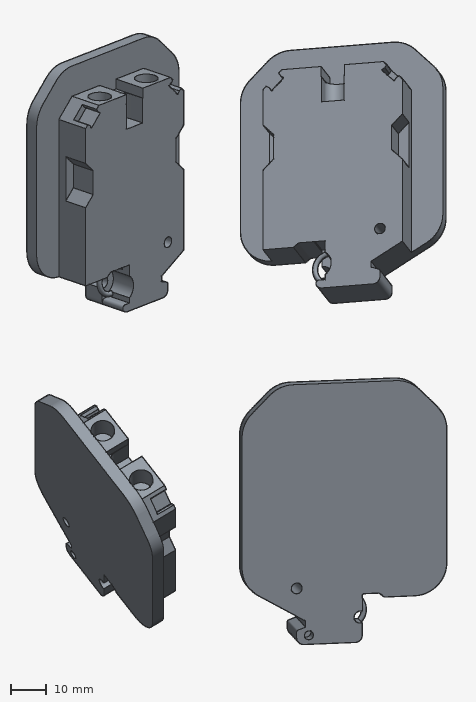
import cadquery as cq
import math


total_depth = 14.0
total_height = 74.0
plate_thickness = 3.8
plate_half_width = 29.0

top_corner_cut = 10.6
corner_radius = 9.2
plate_bottom = 12.6
slope_angle = math.radians(30)
slope_end_y = 11.0
slope_end_z = 6.65

tab_back_y = 13.55
tab_front_y = -5.0
tab_radius = 2.0
neck_bottom = 4.95
toe_z = 4.1
toe_radius = 0.6
step_top = 13.8
step_front_y = -9.8
step_run = 1.5
step_radius = 0.5
hook_y = -4.45
hook_z = 7.2
hook_radius = 1.7

block_half_width = 20.0
block_top = 65.0
block_corner_cut = 5.4
block_corner_angle = 45

notch_start_x = 6.45
notch_z = 42.55
notch_mouth = 13.25
notch_floor = 7.1
notch_depth = (notch_mouth - notch_floor) / 2

snap_start_x = 8.6
snap_width = 5.0
snap_depth = 2.1
snap_pinch = 0.2

groove_width = 6.65
groove_depth = 2.95
well_x = 9.55
well_y = 9.5
well_diameter = 6.5
well_depth = 7.4

through_hole_y = 13.55
through_hole_z = 16.05
through_hole_diameter = 3.0
blind_hole_y = 10.1
blind_hole_z = 2.6
blind_hole_diameter = 2.5
blind_hole_depth = plate_thickness

recess_start_x = 6.3
recess_wall_y = -2.15
recess_floor_z = 2.4
lip_radius = 0.95
recess_arc_half_height = 3.25
recess_arc_radius = 4.0
ring_y = -2.3
ring_z = 7.85
ring_wire_radius = 0.75
ring_radius = 4.5
ring_overlap = 0.1
ring_x = recess_start_x + ring_wire_radius - ring_overlap


def prism(points, start_x, end_x):
    """Extrude a closed (y, z) polygon from start_x to end_x."""
    return cq.Workplane("YZ", origin=(start_x, 0, 0)).polyline(points).close().extrude(end_x - start_x)


def rod(y, z, radius, start_x, end_x):
    """Cylinder along X."""
    return cq.Workplane("YZ", origin=(start_x, y, z)).circle(radius).extrude(end_x - start_x)


def round_corners(body, corners, radius):
    """Round the edges along X that pass through the given (y, z) corners."""
    for y, z in corners:
        nearest = cq.selectors.NearestToPointSelector((body.val().Center().x, y, z))
        edge = body.edges("|X").edges(nearest)
        body = edge.fillet(radius)
    return body


def outline_prism(depth):
    """The plate and tab outline, extruded from the flat outer face to the given depth."""
    slope_start_z = slope_end_z + (plate_half_width - slope_end_y) * math.tan(slope_angle)
    shoulder_y = plate_half_width - top_corner_cut
    shoulder_z = total_height - top_corner_cut
    plate_corners = [
        (plate_half_width, slope_start_z),
        (plate_half_width, shoulder_z),
        (shoulder_y, total_height),
        (-shoulder_y, total_height),
        (-plate_half_width, shoulder_z),
        (-plate_half_width, plate_bottom),
    ]
    step_corners = [(step_front_y, step_top), (tab_front_y, step_top)]
    step_foot = (step_front_y - step_run, plate_bottom)
    tab_corners = [(tab_front_y, 0), (tab_back_y, 0)]
    toe = (tab_back_y, toe_z)
    neck = [(slope_end_y, neck_bottom), (slope_end_y, slope_end_z)]

    body = prism(plate_corners + [step_foot] + step_corners + tab_corners + [toe] + neck, 0, depth)
    body = round_corners(body, plate_corners, corner_radius)
    body = round_corners(body, tab_corners, tab_radius)
    body = round_corners(body, step_corners, step_radius)
    return round_corners(body, [toe], toe_radius)


def block_envelope():
    """Straight-sided prism that limits the material behind the plate."""
    shoulder_y = block_half_width - block_corner_cut
    shoulder_z = block_top - block_corner_cut
    points = [
        (block_half_width, 0),
        (block_half_width, shoulder_z),
        (shoulder_y, block_top),
        (-shoulder_y, block_top),
        (-block_half_width, shoulder_z),
        (-block_half_width, 0),
    ]
    return prism(points, plate_thickness, total_depth)


def side_notch():
    """Trapezoid notch, narrowing inward, in the -Y side of the block."""
    points = [
        (-block_half_width, notch_z - notch_mouth / 2),
        (-block_half_width + notch_depth, notch_z - notch_floor / 2),
        (-block_half_width + notch_depth, notch_z + notch_floor / 2),
        (-block_half_width, notch_z + notch_mouth / 2),
    ]
    return prism(points, notch_start_x, total_depth)


def snap_slot():
    """Slot across the cut corner on the -Y side, its walls pinched at half depth."""
    half = snap_width / 2
    waist = half - snap_pinch
    points = [
        (-half, 0),
        (-waist, -snap_depth / 2),
        (-half, -snap_depth),
        (half, -snap_depth),
        (waist, -snap_depth / 2),
        (half, 0),
    ]
    middle_y = -block_half_width + block_corner_cut / 2
    middle_z = block_top - block_corner_cut / 2
    slot = prism(points, snap_start_x, total_depth)
    return slot.rotate((0, 0, 0), (1, 0, 0), block_corner_angle).translate((0, middle_y, middle_z))


def top_groove():
    """Groove over the middle of the block, with a round-ended well open to +X."""
    well_top = block_top - groove_depth
    groove = cq.Workplane("XY", origin=(plate_thickness, 0, well_top)).box(
        total_depth - plate_thickness, groove_width, groove_depth, centered=(False, True, False)
    )
    well = cq.Workplane("XY", origin=(well_x, 0, well_top)).circle(well_diameter / 2).extrude(-well_depth)
    opening = cq.Workplane("XY", origin=(well_x, 0, well_top - well_depth)).box(
        total_depth - well_x, well_diameter, well_depth, centered=(False, True, False)
    )
    return groove.union(well).union(opening)


def top_wells():
    """Two round wells sunk into the top of the block."""
    top = cq.Workplane("XY", origin=(well_x, 0, block_top))
    return top.pushPoints([(0, well_y), (0, -well_y)]).circle(well_diameter / 2).extrude(-well_depth)


def hook_notch():
    """Round-bottomed notch in the front edge of the tab."""
    bottom_z = hook_z - hook_radius
    top_z = hook_z + hook_radius
    mouth = [(hook_y, bottom_z), (tab_front_y, bottom_z), (tab_front_y, top_z), (hook_y, top_z)]
    return rod(hook_y, hook_z, hook_radius, 0, total_depth).union(prism(mouth, 0, total_depth))


def ring_recess():
    """Recess in the front of the tab: flat wall, round hollow and a foot with a rounded lip."""
    corners = [
        (tab_front_y, recess_floor_z),
        (recess_wall_y, recess_floor_z),
        (recess_wall_y, step_top),
        (tab_front_y, step_top),
    ]
    arc_y = recess_wall_y - math.sqrt(recess_arc_radius**2 - recess_arc_half_height**2)
    hollow = rod(arc_y, hook_z, recess_arc_radius, recess_start_x, total_depth)
    return prism(corners, recess_start_x, total_depth).union(hollow).union(lip_waste())


def lip_waste():
    """Material outside the lip: its arc is tangent to the foot and to the round corner of the tab."""
    corner_y = tab_front_y + tab_radius
    lip_z = recess_floor_z - lip_radius
    centre_distance = tab_radius - lip_radius
    angle = math.asin((tab_radius - lip_z) / centre_distance)
    lip_y = corner_y - centre_distance * math.cos(angle)
    tangent_z = tab_radius - tab_radius * math.sin(angle)
    corners = [
        (tab_front_y, tangent_z),
        (lip_y, tangent_z),
        (lip_y, recess_floor_z),
        (tab_front_y, recess_floor_z),
    ]
    waste = prism(corners, recess_start_x, total_depth)
    return waste.cut(rod(lip_y, lip_z, lip_radius, recess_start_x, total_depth))


def spring_ring():
    """Wire ring standing in the recess, its axis along X and its side sunk slightly into the recess wall."""
    ring = cq.Solid.makeTorus(
        ring_radius, ring_wire_radius, cq.Vector(ring_x, ring_y, ring_z), cq.Vector(1, 0, 0)
    )
    return cq.Workplane(obj=ring)


result = outline_prism(plate_thickness).union(outline_prism(total_depth).intersect(block_envelope()))

for feature in (side_notch(), snap_slot()):
    result = result.cut(feature).cut(feature.mirror("XZ"))

result = result.cut(top_groove()).cut(top_wells())
result = result.cut(hook_notch()).cut(ring_recess()).union(spring_ring())
result = result.cut(rod(through_hole_y, through_hole_z, through_hole_diameter / 2, 0, total_depth))
result = result.cut(rod(blind_hole_y, blind_hole_z, blind_hole_diameter / 2, 0, blind_hole_depth))